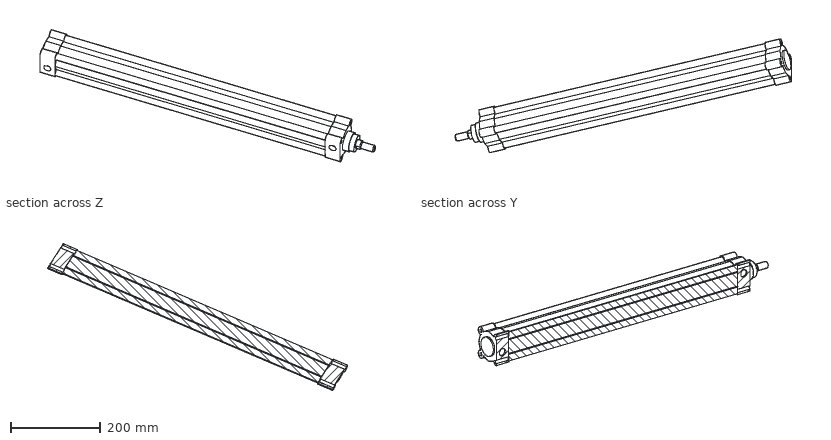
import cadquery as cq
import math

TOTAL_LENGTH = 794.0

CAP_WIDTH = 76.0
CAP_LENGTH = 36.0
CAP_BULGE_RADIUS = 35.0
CAP_RIDGE_HALF_WIDTH = 9.0
BOLT_OFFSET = 28.5
BOLT_HOLE_RADIUS = 3.6
PORT_DIAMETER = 17.0
PORT_DEPTH = 13.0
PORT_HEIGHT = 9.5
REAR_CAP_START = 4.0
FRONT_CAP_START = 689.0

BOSS_DIAMETER = 45.0
COLLAR_BASE_LENGTH = 14.0
COLLAR_TIP_LENGTH = 12.0
COLLAR_TIP_RADIUS = 20.0

TUBE_WIDTH = 71.5
TUBE_BULGE_RADIUS = 33.0
TUBE_RIDGE_HALF_WIDTH = 5.95

ROD_RADIUS = 10.0
ROD_COLLAR_LENGTH = 2.0
FLAT_OFFSET = 9.5
ROD_CHAMFER = 2.0
THREAD_RADIUS = 8.0
THREAD_LENGTH = 30.0
THREAD_CHAMFER = 2.0

CAP_CORNER_RADIUS = CAP_WIDTH / 2 - BOLT_OFFSET
TUBE_CORNER_RADIUS = TUBE_WIDTH / 2 - BOLT_OFFSET
TUBE_START = REAR_CAP_START + CAP_LENGTH
FRONT_CAP_END = FRONT_CAP_START + CAP_LENGTH
ROD_START = FRONT_CAP_END + COLLAR_BASE_LENGTH + COLLAR_TIP_LENGTH
THREAD_START = TOTAL_LENGTH - THREAD_LENGTH
CORNERS = [(side * BOLT_OFFSET, level * BOLT_OFFSET) for side in (-1, 1) for level in (-1, 1)]


def section_plane(x):
    """A plane across the cylinder at x, with its local axes along Y and Z."""
    return cq.Workplane("YZ", origin=(x, 0, 0))


def ridged_profile(start, length, lobe_radius, bulge_radius, ridge_half_width):
    """Round core with a shallow tangent ridge on each side and a round lobe on each corner."""
    tilt = math.asin(ridge_half_width / bulge_radius)
    tangent_height = bulge_radius * math.cos(tilt)
    apex_height = bulge_radius / math.cos(tilt)
    body = section_plane(start).circle(bulge_radius).extrude(length)
    ridge = (
        section_plane(start)
        .lineTo(ridge_half_width, tangent_height)
        .lineTo(0, apex_height)
        .lineTo(-ridge_half_width, tangent_height)
        .close()
        .extrude(length)
    )
    for turn in range(4):
        body = body.union(ridge.rotate((0, 0, 0), (1, 0, 0), 90 * turn))
    lobes = section_plane(start).pushPoints(CORNERS).circle(lobe_radius).extrude(length)
    return body.union(lobes)


def make_cap(start, port_z):
    """End cap with a flat port face on -Y, four through bolt holes and one blind port."""
    cap = ridged_profile(start, CAP_LENGTH, CAP_CORNER_RADIUS, CAP_BULGE_RADIUS, CAP_RIDGE_HALF_WIDTH)
    port_block = (
        section_plane(start)
        .center(-BOLT_OFFSET, 0)
        .rect(2 * CAP_CORNER_RADIUS, 2 * BOLT_OFFSET)
        .extrude(CAP_LENGTH)
    )
    bolt_holes = section_plane(start).pushPoints(CORNERS).circle(BOLT_HOLE_RADIUS).extrude(CAP_LENGTH)
    port = (
        cq.Workplane("XZ", origin=(start + CAP_LENGTH / 2, -CAP_WIDTH / 2, port_z))
        .circle(PORT_DIAMETER / 2)
        .extrude(-PORT_DEPTH)
    )
    return cap.union(port_block).cut(bolt_holes).cut(port)


def make_rear_cap():
    """Cap with a low round boss on its outer face."""
    boss = section_plane(0).circle(BOSS_DIAMETER / 2).extrude(REAR_CAP_START)
    return make_cap(REAR_CAP_START, -PORT_HEIGHT).union(boss)


def make_front_cap():
    """Cap whose pilot boss carries on as a stepped collar under the rod."""
    base = section_plane(FRONT_CAP_END).circle(BOSS_DIAMETER / 2).extrude(COLLAR_BASE_LENGTH)
    tip = (
        section_plane(FRONT_CAP_END + COLLAR_BASE_LENGTH)
        .circle(COLLAR_TIP_RADIUS)
        .extrude(COLLAR_TIP_LENGTH)
    )
    return make_cap(FRONT_CAP_START, PORT_HEIGHT).union(base).union(tip)


def make_tube():
    """Ridged profile whose corner lobes stand on straight webs along the diagonals."""
    length = FRONT_CAP_START - TUBE_START
    tube = ridged_profile(
        TUBE_START, length, TUBE_CORNER_RADIUS, TUBE_BULGE_RADIUS, TUBE_RIDGE_HALF_WIDTH
    )
    web_length = 2 * math.sqrt(2) * BOLT_OFFSET
    web = section_plane(TUBE_START).rect(web_length, 2 * TUBE_CORNER_RADIUS).extrude(length)
    for angle in (45, 135):
        tube = tube.union(web.rotate((0, 0, 0), (1, 0, 0), angle))
    return tube


def make_rod():
    """Rod end with two wrench flats and a chamfered thread."""
    rod_length = THREAD_START - ROD_START
    rod = section_plane(ROD_START).circle(ROD_RADIUS).extrude(rod_length)
    rod = rod.faces(">X").chamfer(ROD_CHAMFER)
    flat_start = ROD_START + ROD_COLLAR_LENGTH
    flat_length = THREAD_START - flat_start
    for side in (-1, 1):
        waste = (
            section_plane(flat_start)
            .center(side * (FLAT_OFFSET + ROD_RADIUS / 2), 0)
            .rect(ROD_RADIUS, 2 * ROD_RADIUS)
            .extrude(flat_length)
        )
        rod = rod.cut(waste)
    thread = section_plane(THREAD_START).circle(THREAD_RADIUS).extrude(THREAD_LENGTH)
    thread = thread.faces(">X").chamfer(THREAD_CHAMFER)
    return rod.union(thread)


rear_cap = make_rear_cap()
front_cap = make_front_cap()
tube = make_tube()
rod = make_rod()

result = cq.Compound.makeCompound([rear_cap.val(), tube.val(), front_cap.val(), rod.val()])